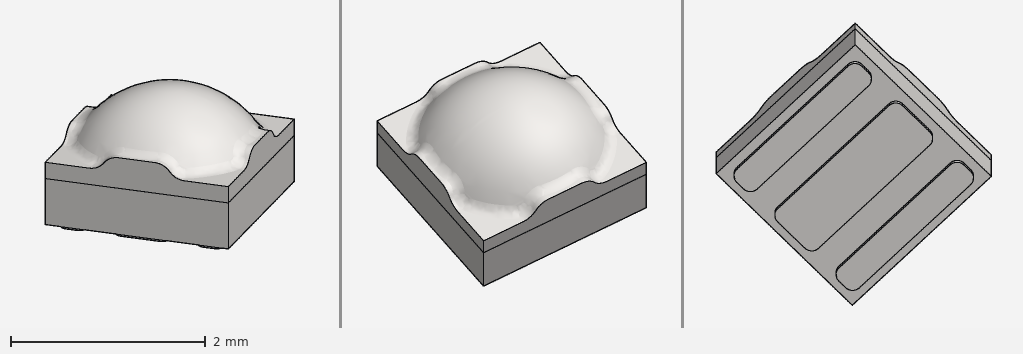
import cadquery as cq
import math

side = 2.0
total_height = 1.34

pad_height = 0.06
pad_length = 1.8
pad_corner_radius = 0.1
outer_pad_width = 0.3
center_pad_width = 0.6
outer_pad_offset = 0.75

substrate_top = 0.57
plate_top = 0.75
ridge_top = 0.908
ridge_crest_half_width = 0.2
ridge_blend_radius = 0.2

dome_radius = 1.14
dome_fillet_radius = 0.15

ridge_height = ridge_top - plate_top
flank_mid_z = (plate_top + ridge_top) / 2
flank_angle = math.acos(1 - ridge_height / 2 / ridge_blend_radius)
flank_half_width = ridge_blend_radius * math.sin(flank_angle)
flank_mid_x = ridge_crest_half_width + flank_half_width
ridge_foot_x = flank_mid_x + flank_half_width
arc_mid_dx = ridge_blend_radius * math.sin(flank_angle / 2)
arc_mid_dz = ridge_blend_radius * (1 - math.cos(flank_angle / 2))
dome_center_z = total_height - dome_radius


def make_pad(center_x, width):
    """Solder pad with rounded vertical corners."""
    return (
        cq.Workplane("XY")
        .center(center_x, 0)
        .rect(width, pad_length)
        .extrude(pad_height)
        .edges("|Z")
        .fillet(pad_corner_radius)
    )


def make_substrate():
    return (
        cq.Workplane("XY")
        .workplane(offset=pad_height)
        .rect(side, side)
        .extrude(substrate_top - pad_height)
    )


def make_ridge():
    """Raised ridge along Y, with S-shaped flanks, standing on the plate bottom."""
    concave_mid = (ridge_foot_x - arc_mid_dx, plate_top + arc_mid_dz)
    convex_mid = (ridge_crest_half_width + arc_mid_dx, ridge_top - arc_mid_dz)
    return (
        cq.Workplane("XZ")
        .moveTo(-ridge_foot_x, substrate_top)
        .lineTo(ridge_foot_x, substrate_top)
        .lineTo(ridge_foot_x, plate_top)
        .threePointArc(concave_mid, (flank_mid_x, flank_mid_z))
        .threePointArc(convex_mid, (ridge_crest_half_width, ridge_top))
        .lineTo(-ridge_crest_half_width, ridge_top)
        .threePointArc((-convex_mid[0], convex_mid[1]), (-flank_mid_x, flank_mid_z))
        .threePointArc((-concave_mid[0], concave_mid[1]), (-ridge_foot_x, plate_top))
        .close()
        .extrude(side / 2, both=True)
    )


def make_dome():
    """Spherical cap rising from the plate bottom, trimmed to the footprint."""
    sphere = cq.Workplane("XY").sphere(dome_radius).translate((0, 0, dome_center_z))
    trim = (
        cq.Workplane("XY")
        .workplane(offset=substrate_top)
        .rect(side, side)
        .extrude(total_height)
    )
    return sphere.intersect(trim)


def is_dome_foot(edge):
    """True when an edge above the plate bottom lies on the dome's sphere."""
    dome_center = cq.Vector(0, 0, dome_center_z)
    tolerance = 0.0002
    samples = [edge.positionAt(t) for t in (0, 0.3, 0.7, 1)]
    return all(
        abs((point - dome_center).Length - dome_radius) < tolerance
        and point.z > plate_top - tolerance
        for point in samples
    )


def make_lens():
    """Lens plate, crossing ridges and dome as one body, filleted round the dome foot."""
    plate = (
        cq.Workplane("XY")
        .workplane(offset=substrate_top)
        .rect(side, side)
        .extrude(plate_top - substrate_top)
    )
    ridge = make_ridge()
    crossing_ridge = ridge.rotate((0, 0, 0), (0, 0, 1), 90)
    lens = plate.union(ridge).union(crossing_ridge).union(make_dome())
    foot_edges = [edge for edge in lens.edges().vals() if is_dome_foot(edge)]
    return lens.newObject(foot_edges).fillet(dome_fillet_radius)


pads = [
    make_pad(center_x, width)
    for center_x, width in (
        (-outer_pad_offset, outer_pad_width),
        (0, center_pad_width),
        (outer_pad_offset, outer_pad_width),
    )
]
substrate = make_substrate()
lens = make_lens()

result = cq.Compound.makeCompound([substrate.val(), lens.val(), *(pad.val() for pad in pads)])